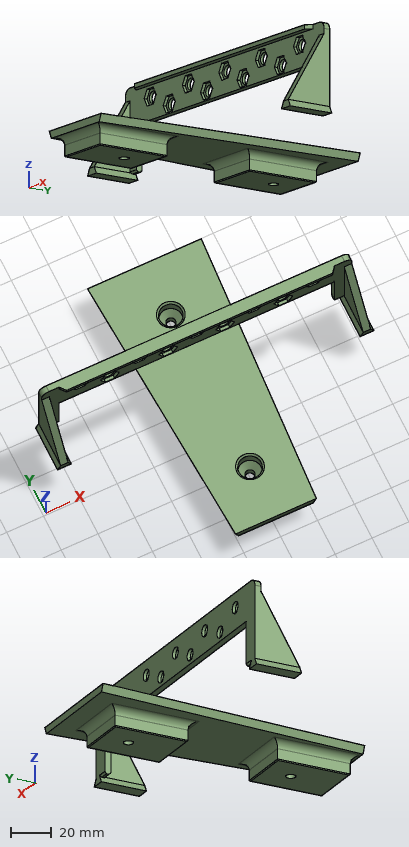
import cadquery as cq
import math

PLATE_LENGTH = 149.0
PLATE_THICKNESS = 4.0
BACK_HALF_WIDTH = 31.0
FRONT_HALF_WIDTH = 22.0
DOVETAIL_INSET = 1.7

PAD_WIDTH = 30.0
PAD_LENGTH = 40.2
PAD_HEIGHT = 10.0
PAD_BOTTOM = -PLATE_THICKNESS - PAD_HEIGHT
PAD_CENTRES_Y = (39.5, -50.2)
PAD_FILLET = PLATE_THICKNESS
PAD_CHAMFER = 0.5
SELECTION_MARGIN = 0.2

SCREW_DIAMETER = 5.0
SCREW_HEAD_DIAMETER = 12.0
SCREW_MOUTH_DIAMETER = 14.0
SCREW_HEAD_DEPTH = 6.4
SCREW_OFFSET_Y = 5.0
PILOT_DIAMETER = 2.0
PILOT_Y = 26.6

RAIL_TOP = 47.0
RAIL_HEIGHT = 19.8
RAIL_THICKNESS = 3.5
RAIL_HALF_LENGTH = 84.2
RAIL_BACK_Y = 18.5
RAIL_CORNER_RADIUS = 4.0
RAIL_FRONT_Y = RAIL_BACK_Y - RAIL_THICKNESS

LIP_HEIGHT = 2.2
LIP_DEPTH = 3.1
LIP_END_RUN = 2.5

LEG_WIDTH = 9.5
LEG_CHAMFER = 1.0
LEG_BOTTOM = 3.6
LEG_INNER_X = RAIL_HALF_LENGTH - LEG_WIDTH
RIB_WIDTH = 4.1
RIB_DROP = 6.5
FOOT_LENGTH = 24.9
FOOT_BOTTOM = 0.5
FOOT_TOP = 4.1
FOOT_FRONT_Y = RAIL_BACK_Y - FOOT_LENGTH

NUT_FLATS = 8.6
NUT_CORNERS = NUT_FLATS / math.cos(math.pi / 6)
NUT_DEPTH = RAIL_THICKNESS / 2
BOLT_DIAMETER = 6.0
UPPER_ROW_DROP = 7.9
LOWER_ROW_DROP = 14.8
UPPER_ROW_X = (-63.2, -31.0, 0.0, 31.0, 63.2)
LOWER_ROW_X = (-47.0, -15.5, 15.5, 47.0)


def plate_outline(inset):
    """Corners of the plate with both long sides moved in by `inset`."""
    half_length = PLATE_LENGTH / 2
    back = BACK_HALF_WIDTH - inset
    front = FRONT_HALF_WIDTH - inset
    return [(-back, half_length), (-front, -half_length), (front, -half_length), (back, half_length)]


def make_plate():
    """Flat plate, tapered in length, with dovetail long sides."""
    return (
        cq.Workplane("XY").workplane(offset=-PLATE_THICKNESS)
        .polyline(plate_outline(DOVETAIL_INSET)).close()
        .workplane(offset=PLATE_THICKNESS)
        .polyline(plate_outline(0)).close()
        .loft(ruled=True)
    )


def add_pad(body, centre_y):
    """Rectangular pad under the plate, filleted where it joins and chamfered at its foot."""
    pad = (
        cq.Workplane("XY").workplane(offset=PAD_BOTTOM)
        .center(0, centre_y).rect(PAD_WIDTH, PAD_LENGTH).extrude(PAD_HEIGHT)
        .faces("<Z").chamfer(PAD_CHAMFER)
    )
    half_x = PAD_WIDTH / 2 + SELECTION_MARGIN
    half_y = PAD_LENGTH / 2 + SELECTION_MARGIN
    root = cq.selectors.BoxSelector(
        (-half_x, centre_y - half_y, -PLATE_THICKNESS - SELECTION_MARGIN),
        (half_x, centre_y + half_y, -PLATE_THICKNESS + SELECTION_MARGIN),
    )
    return body.union(pad).edges(root).fillet(PAD_FILLET)


def screw_hole(centre_y):
    """Stepped cutter: chamfered mouth, straight head recess, 45 degree seat and through hole."""
    screw = SCREW_DIAMETER / 2
    head = SCREW_HEAD_DIAMETER / 2
    mouth = SCREW_MOUTH_DIAMETER / 2
    return (
        cq.Workplane("XZ")
        .moveTo(0, 0).lineTo(mouth, 0).lineTo(head, head - mouth).lineTo(head, -SCREW_HEAD_DEPTH)
        .lineTo(screw, -SCREW_HEAD_DEPTH - (head - screw)).lineTo(screw, PAD_BOTTOM).lineTo(0, PAD_BOTTOM)
        .close().revolve(360, (0, 0), (0, 1)).translate((0, centre_y, 0))
    )


def make_base():
    """Plate with its two pads, screw holes and pilot hole."""
    body = make_plate()
    for pad_y in PAD_CENTRES_Y:
        body = add_pad(body, pad_y)
    for pad_y in PAD_CENTRES_Y:
        body = body.cut(screw_hole(pad_y + SCREW_OFFSET_Y))
    pilot = (
        cq.Workplane("XY").center(0, PILOT_Y).circle(PILOT_DIAMETER / 2).extrude(-PLATE_THICKNESS)
    )
    return body.cut(pilot)


def make_rail():
    """Straight bar with rounded upper corners."""
    return (
        cq.Workplane("XY")
        .box(2 * RAIL_HALF_LENGTH, RAIL_THICKNESS, RAIL_HEIGHT, centered=(True, False, False))
        .edges("|Y and >Z").fillet(RAIL_CORNER_RADIUS)
        .translate((0, RAIL_FRONT_Y, RAIL_TOP - RAIL_HEIGHT))
    )


def make_lip():
    """Strip along the rail's upper front edge, with slanted ends."""
    tip_x = LEG_INNER_X - LIP_END_RUN
    tip_y = RAIL_FRONT_Y - LIP_DEPTH
    return (
        cq.Workplane("XY").workplane(offset=RAIL_TOP - LIP_HEIGHT)
        .polyline([
            (-LEG_INNER_X, RAIL_FRONT_Y), (-tip_x, tip_y), (tip_x, tip_y), (LEG_INNER_X, RAIL_FRONT_Y),
        ]).close().extrude(LIP_HEIGHT)
    )


def make_leg():
    """Right-hand leg, chamfered along its lower front and back edges."""
    return (
        cq.Workplane("XY")
        .box(LEG_WIDTH, RAIL_THICKNESS, RAIL_TOP - RAIL_HEIGHT - LEG_BOTTOM, centered=False)
        .edges("|X and <Z").chamfer(LEG_CHAMFER)
        .translate((LEG_INNER_X, RAIL_FRONT_Y, LEG_BOTTOM))
    )


def make_rib():
    """Right-hand triangular rib between the leg and the foot."""
    return (
        cq.Workplane("YZ").workplane(offset=RAIL_HALF_LENGTH - RIB_WIDTH)
        .polyline([
            (RAIL_BACK_Y, FOOT_TOP), (FOOT_FRONT_Y, FOOT_TOP),
            (RAIL_FRONT_Y, RAIL_TOP - RIB_DROP), (RAIL_BACK_Y, RAIL_TOP - RIB_DROP),
        ]).close().extrude(RIB_WIDTH)
    )


def make_foot():
    """Right-hand dovetail foot, as wide as the rib on top and wider below."""
    outer = RAIL_HALF_LENGTH
    inner = RAIL_HALF_LENGTH - RIB_WIDTH
    return (
        cq.Workplane("XZ").workplane(offset=-RAIL_BACK_Y)
        .polyline([
            (inner, FOOT_TOP), (outer, FOOT_TOP),
            (outer + DOVETAIL_INSET, FOOT_BOTTOM), (inner - DOVETAIL_INSET, FOOT_BOTTOM),
        ]).close().extrude(FOOT_LENGTH)
    )


def nut_pocket(x, drop):
    """Bolt hole through the rail with a hexagonal pocket in the front face."""
    plane = cq.Workplane("XZ").workplane(offset=-RAIL_FRONT_Y).center(x, RAIL_TOP - drop)
    bolt = plane.circle(BOLT_DIAMETER / 2).extrude(-RAIL_THICKNESS)
    nut = plane.polygon(6, NUT_CORNERS).extrude(-NUT_DEPTH)
    return bolt.union(nut)


def make_bracket():
    """Rail, lip and mirrored legs joined in one solid, with both rows of nut pockets."""
    body = make_rail().union(make_lip())
    side = make_leg().union(make_rib()).union(make_foot())
    body = body.union(side).union(side.mirror("YZ"))
    for row, drop in ((UPPER_ROW_X, UPPER_ROW_DROP), (LOWER_ROW_X, LOWER_ROW_DROP)):
        for x in row:
            body = body.cut(nut_pocket(x, drop))
    return body


base = make_base()
bracket = make_bracket()
result = cq.Compound.makeCompound([base.solids().val(), bracket.solids().val()])